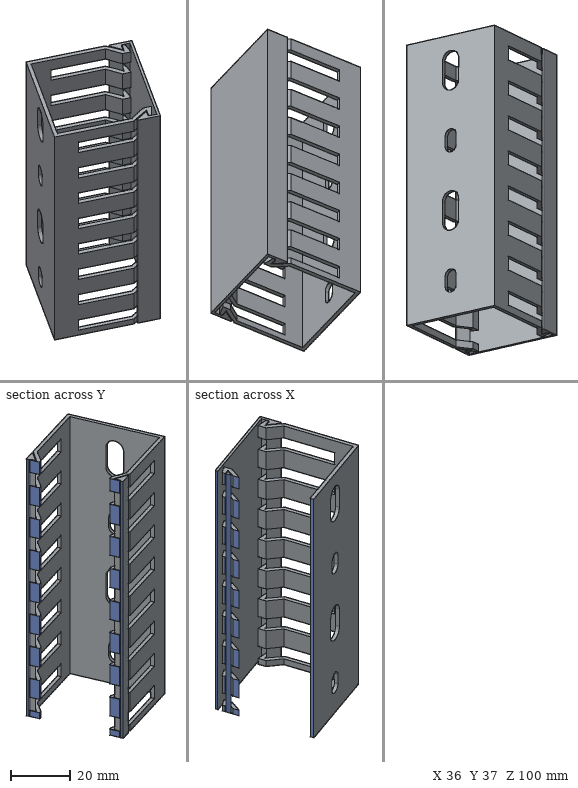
import cadquery as cq

WIDTH = 36.0
DEPTH = 37.0
LENGTH = 100.0
HALF_WIDTH = WIDTH / 2

WALL = 1.4
SHOULDER_OUTER_Y = DEPTH - 9.3
SHOULDER_INNER_Y = DEPTH - 9.6
FINGER_REACH = 5.0
NECK_INNER_Y = DEPTH - 4.7
NECK_REACH = 3.8
HOOK_UNDER_Y = DEPTH - 3.8
HOOK_ROUND = 0.5
HOOK_TIP_TOP_Y = DEPTH - 2.8
HOOK_TOP_Y = DEPTH - 1.7
HOOK_TIP_GAP = 0.1

SLOT_COUNT = 8
SLOT_PITCH = LENGTH / SLOT_COUNT
SLOT_HEIGHT = 5.0
FIRST_SLOT_Z = 2.5
SLOT_BOTTOM_Y = 8.4

HOLE_COUNT = 4
HOLE_PITCH = LENGTH / HOLE_COUNT
SMALL_HOLE = (8.2, 4.4)
LARGE_HOLE = (14.0, 6.6)

LID_WALL = 1.0
LID_SKIRT_Y = DEPTH - 8.7
LATCH_TOP_Y = DEPTH - 4.0
LATCH_REACH = 3.3
SKIRT_ROUND = 0.3
LEDGE_ROUND = 0.5


def mirrored_profile(left_points):
    """Extrude a closed outline given by its left half, ordered from centre to centre."""
    right_points = [(-x, y) for x, y in reversed(left_points)]
    return cq.Workplane("XY").polyline(left_points + right_points).close().extrude(LENGTH)


def round_corner(body, reach, y, radius):
    """Round the lengthwise edges that lie 'reach' inwards of both sides at height y."""
    for x in (-HALF_WIDTH + reach, HALF_WIDTH - reach):
        edge = cq.selectors.NearestToPointSelector((x, y, LENGTH / 2))
        body = body.edges(edge).fillet(radius)
    return body


def make_duct():
    hook_tip = LID_WALL + HOOK_TIP_GAP
    duct = mirrored_profile([
        (-HALF_WIDTH, 0),
        (-HALF_WIDTH, SHOULDER_OUTER_Y),
        (-HALF_WIDTH + NECK_REACH, HOOK_UNDER_Y),
        (-HALF_WIDTH + hook_tip, HOOK_UNDER_Y),
        (-HALF_WIDTH + hook_tip, HOOK_TIP_TOP_Y),
        (-HALF_WIDTH + FINGER_REACH, HOOK_TOP_Y),
        (-HALF_WIDTH + FINGER_REACH, NECK_INNER_Y),
        (-HALF_WIDTH + WALL, SHOULDER_INNER_Y),
        (-HALF_WIDTH + WALL, WALL),
    ])
    duct = round_corner(duct, hook_tip, HOOK_UNDER_Y, HOOK_ROUND)
    return duct.cut(finger_slots()).cut(mounting_holes())


def finger_slots():
    """Bars across the full width that part the side walls into fingers, open at the hooks."""
    bar = cq.Workplane("XY").box(
        WIDTH, DEPTH - SLOT_BOTTOM_Y, SLOT_HEIGHT, centered=(True, False, False)
    )
    bars = cq.Workplane("XY")
    for i in range(SLOT_COUNT):
        bars = bars.add(bar.translate((0, SLOT_BOTTOM_Y, FIRST_SLOT_Z + i * SLOT_PITCH)))
    return bars.combine()


def mounting_holes():
    """Rounded slots through the base, spaced evenly along the duct."""
    holes = cq.Workplane("XY")
    for i in range(HOLE_COUNT):
        length, width = LARGE_HOLE if i % 2 else SMALL_HOLE
        z = (i + 0.5) * HOLE_PITCH
        hole = cq.Workplane("XZ").center(0, z).slot2D(length, width, 90).extrude(-WALL)
        holes = holes.add(hole)
    return holes.combine()


def make_lid():
    """Flat cover whose sides carry wedge latches that clip under the duct's hooks."""
    lid = mirrored_profile([
        (-HALF_WIDTH, DEPTH),
        (-HALF_WIDTH, LID_SKIRT_Y),
        (-HALF_WIDTH + LATCH_REACH, LATCH_TOP_Y),
        (-HALF_WIDTH + LID_WALL, LATCH_TOP_Y),
        (-HALF_WIDTH + LID_WALL, DEPTH - LID_WALL),
    ])
    lid = round_corner(lid, 0, LID_SKIRT_Y, SKIRT_ROUND)
    return round_corner(lid, LID_WALL, LATCH_TOP_Y, LEDGE_ROUND)


duct = make_duct()
lid = make_lid()

result = cq.Compound.makeCompound([duct.solids().val(), lid.solids().val()])